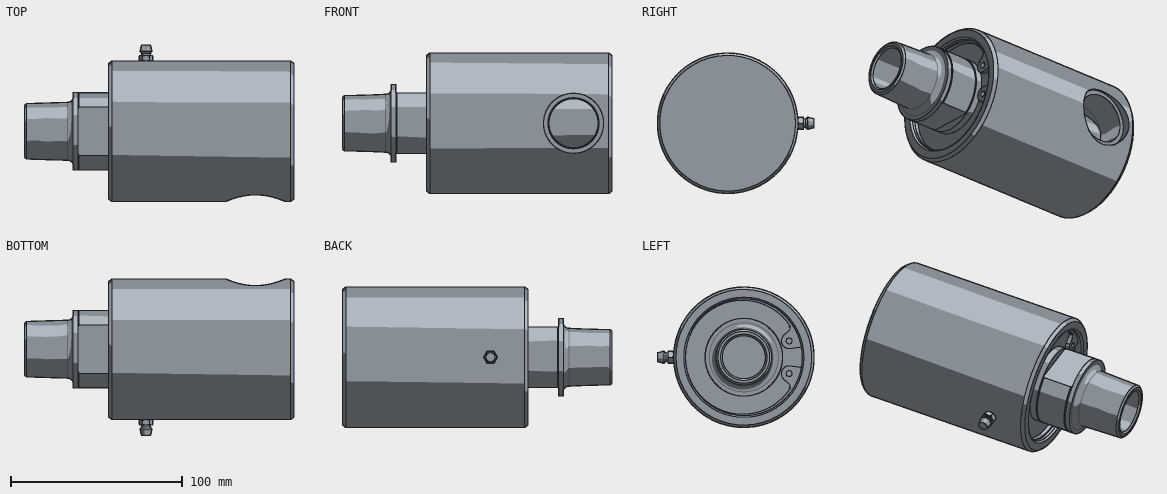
import cadquery as cq
import math

total_length = 157.04
body_diameter = 82.0
body_start = 48.9
body_chamfer_length = 2.0
body_chamfer_depth = 1.5
body_radius = body_diameter / 2

shaft_diameter = 45.3
pipe_end_radius = 16.95
pipe_taper = 1 / 32
pipe_end = 25.2
pipe_fillet = 3.2
tip_chamfer_length = 1.1
tip_chamfer_depth = 1.1
flange_start = pipe_end + pipe_fillet
flange_end = 31.1
notch_width = 0.8
notch_depth = 0.4
flats_end = 50.2
flat_across = 35.5

bore_diameter = 25.0
bore_mouth_diameter = 27.0
bore_mouth_chamfer = (bore_mouth_diameter - bore_diameter) / 2

port_x = 134.6
port_spotface_diameter = 35.0
port_spotface_depth = 5.0
port_end_diameter = 28.57
port_mouth_diameter = 29.8
rotor_radius = 19.7

recess_mouth_diameter = 70.0
recess_diameter = 68.1
recess_mouth_depth = 1.2
ring_face = body_start + 2.9
ring_thickness = 2.5
recess_floor = ring_face + ring_thickness
ring_inner_radius = 33.2
ring_offset = 0.75
ear_hole_diameter = 3.44
ear_hole_y = -26.4
ear_hole_z = 9.5
ear_radius = 4.5
ear_shoulder_top = (-26.4, 17.8)
ear_shoulder_middle = (-26.9, 16.7)
ear_shoulder_bottom = (-26.3, 15.5)
ear_flare_end = (-23.2, 12.8)
ear_gap_half_width = 6.0

nipple_x = 70.8
nipple_height = 9.41
nipple_seat_depth = 2.0
nipple_hex_across = 7.0
nipple_hex_height = 3.2
nipple_hex_chamfer_angle = 45.0
nipple_neck_radius = 2.5
nipple_neck_top = 4.2
nipple_bulge_radius = 3.5
nipple_bulge_base = 5.5
nipple_bulge_top = 6.1
nipple_top_diameter = 5.36
nipple_top_land = 0.3


def x_cylinder(radius, start, end):
    return cq.Workplane("YZ", origin=(start, 0, 0)).circle(radius).extrude(end - start)


def make_body():
    chamfer_top = body_radius - body_chamfer_depth
    body = (
        cq.Workplane("XY")
        .moveTo(body_start, 0)
        .lineTo(body_start, chamfer_top)
        .lineTo(body_start + body_chamfer_length, body_radius)
        .lineTo(total_length - body_chamfer_length, body_radius)
        .lineTo(total_length, chamfer_top)
        .lineTo(total_length, 0)
        .close()
        .revolve(360, (0, 0, 0), (1, 0, 0))
    )
    recess = x_cylinder(recess_diameter / 2, body_start, recess_floor)
    mouth_radius = recess_mouth_diameter / 2
    mouth = cq.Solid.makeCone(
        mouth_radius, recess_diameter / 2, recess_mouth_depth, cq.Vector(body_start, 0, 0), cq.Vector(1, 0, 0)
    )
    return body.cut(cq.Workplane(mouth)).cut(recess)


def make_shaft():
    shaft_radius = shaft_diameter / 2
    chamfer_radius = pipe_end_radius - pipe_taper * (pipe_end - tip_chamfer_length)
    fillet_mid_x = pipe_end + pipe_fillet * math.sin(math.pi / 4)
    fillet_mid_r = pipe_end_radius + pipe_fillet * (1 - math.cos(math.pi / 4))
    notch_radius = shaft_radius - notch_depth
    profile = (
        cq.Workplane("XY")
        .moveTo(0, 0)
        .lineTo(0, chamfer_radius - tip_chamfer_depth)
        .lineTo(tip_chamfer_length, chamfer_radius)
        .lineTo(pipe_end, pipe_end_radius)
        .threePointArc((fillet_mid_x, fillet_mid_r), (flange_start, pipe_end_radius + pipe_fillet))
        .lineTo(flange_start, shaft_radius)
    )
    for notch_start in (flange_end, flats_end - notch_width):
        profile = (
            profile.lineTo(notch_start, shaft_radius)
            .lineTo(notch_start + notch_width / 2, notch_radius)
            .lineTo(notch_start + notch_width, shaft_radius)
        )
    profile = profile.lineTo(recess_floor, shaft_radius).lineTo(recess_floor, 0).close()
    return profile.revolve(360, (0, 0, 0), (1, 0, 0))


def cut_flats(part):
    flats_length = flats_end - flange_end
    flat_height = (shaft_diameter - flat_across) / 2
    for side in (1, -1):
        waste = cq.Workplane("XY").box(flats_length, shaft_diameter, flat_height).translate(
            (flange_end + flats_length / 2, 0, side * (flat_across + flat_height) / 2)
        )
        part = part.cut(waste)
    return part


def make_ear():
    boss = cq.Workplane("YZ", origin=(ring_face, 0, 0)).center(ear_hole_y, ear_hole_z).circle(ear_radius)
    web = (
        cq.Workplane("YZ", origin=(ring_face, 0, 0))
        .moveTo(ear_hole_y, ear_hole_z - ear_radius)
        .lineTo(-recess_diameter / 2, ear_gap_half_width)
        .lineTo(-recess_diameter / 2, ear_shoulder_top[1])
        .lineTo(*ear_shoulder_top)
        .threePointArc(ear_shoulder_middle, ear_shoulder_bottom)
        .lineTo(*ear_flare_end)
        .close()
    )
    return boss.extrude(ring_thickness).union(web.extrude(ring_thickness))


def make_retaining_ring():
    disc = x_cylinder(recess_diameter / 2, ring_face, recess_floor)
    opening = x_cylinder(ring_inner_radius, ring_face, recess_floor).translate((0, ring_offset, 0))
    gap = cq.Workplane("XY").box(ring_thickness, body_radius, 2 * ear_gap_half_width).translate(
        (ring_face + ring_thickness / 2, -body_radius / 2, 0)
    )
    ring = disc.cut(opening).cut(gap)
    upper_ear = make_ear()
    ears = upper_ear.union(upper_ear.mirror("XY")).intersect(disc)
    ring = ring.union(ears)
    for side in (1, -1):
        hole = x_cylinder(ear_hole_diameter / 2, ring_face, recess_floor)
        ring = ring.cut(hole.translate((0, ear_hole_y, side * ear_hole_z)))
    return ring


def make_bore():
    return (
        cq.Workplane("XY")
        .moveTo(0, 0)
        .lineTo(0, bore_mouth_diameter / 2)
        .lineTo(bore_mouth_chamfer, bore_diameter / 2)
        .lineTo(port_x, bore_diameter / 2)
        .lineTo(port_x, 0)
        .close()
        .revolve(360, (0, 0, 0), (1, 0, 0))
    )


def make_port():
    floor_y = port_spotface_depth - body_radius
    profile = (
        cq.Workplane("XY")
        .moveTo(port_x, -body_radius)
        .lineTo(port_x + port_spotface_diameter / 2, -body_radius)
        .lineTo(port_x + port_spotface_diameter / 2, floor_y)
        .lineTo(port_x + port_mouth_diameter / 2, floor_y)
        .lineTo(port_x + port_end_diameter / 2, -rotor_radius)
        .lineTo(port_x + port_end_diameter / 2, 0)
        .lineTo(port_x, 0)
        .close()
    )
    port = profile.revolve(360, (port_x, 0, 0), (port_x, 1, 0))
    return port.cut(x_cylinder(rotor_radius, body_start, total_length))


def make_nipple():
    corner_radius = nipple_hex_across / math.sqrt(3)
    chamfer_rise = (corner_radius - nipple_hex_across / 2) * math.tan(math.radians(nipple_hex_chamfer_angle))
    hexagon = cq.Workplane("XY").polygon(6, 2 * corner_radius).extrude(nipple_hex_height)
    seat = cq.Workplane("XY").circle(nipple_hex_across / 2).extrude(-nipple_seat_depth)
    turned_blank = (
        cq.Workplane("XZ")
        .moveTo(0, 0)
        .lineTo(nipple_hex_across / 2, 0)
        .lineTo(corner_radius, chamfer_rise)
        .lineTo(corner_radius, nipple_hex_height - chamfer_rise)
        .lineTo(nipple_hex_across / 2, nipple_hex_height)
        .lineTo(0, nipple_hex_height)
        .close()
        .revolve(360, (0, 0, 0), (0, 1, 0))
    )
    head = (
        cq.Workplane("XZ")
        .moveTo(0, 0)
        .lineTo(nipple_neck_radius, 0)
        .lineTo(nipple_neck_radius, nipple_neck_top)
        .lineTo(nipple_bulge_radius, nipple_bulge_base)
        .lineTo(nipple_bulge_radius, nipple_bulge_top)
        .lineTo(nipple_top_diameter / 2, nipple_height - nipple_top_land)
        .lineTo(nipple_top_diameter / 2, nipple_height)
        .lineTo(0, nipple_height)
        .close()
        .revolve(360, (0, 0, 0), (0, 1, 0))
    )
    nipple = hexagon.intersect(turned_blank).union(seat).union(head)
    return nipple.rotate((0, 0, 0), (1, 0, 0), -90).translate((nipple_x, body_radius, 0))


shaft = cut_flats(make_shaft())
result = make_body().union(shaft).union(make_retaining_ring())
result = result.cut(make_bore()).cut(make_port()).union(make_nipple())